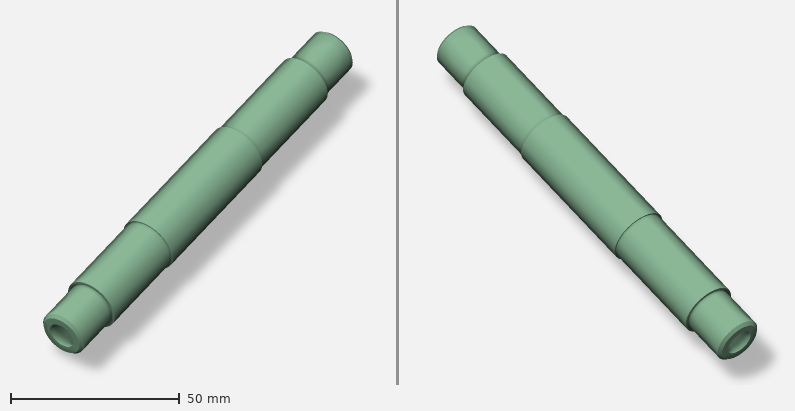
import cadquery as cq

length = 137.0

middle_diameter = 18.0
shoulder_diameter = 17.0
journal_diameter = 15.0

journal_length = 15.0
front_shoulder_length = 28.5
middle_length = 45.1
rear_shoulder_length = length - 2 * journal_length - front_shoulder_length - middle_length

end_chamfer = 1.0

bore_diameter = 8.0
end_bore_diameter = 8.5
end_bore_depth = 20.0

sections = [
    (journal_diameter, journal_length),
    (shoulder_diameter, front_shoulder_length),
    (middle_diameter, middle_length),
    (shoulder_diameter, rear_shoulder_length),
    (journal_diameter, journal_length),
]


def make_cylinder(diameter, start, cylinder_length):
    """Cylinder on the Y axis, from y = start toward +Y."""
    plane = cq.Workplane("XZ", origin=(0, start, 0))
    return plane.circle(diameter / 2).extrude(-cylinder_length)


def make_stepped_shaft():
    """Stack the cylindrical sections end to end and chamfer both ends."""
    shaft = cq.Workplane("XZ")
    start = -length / 2
    for diameter, section_length in sections:
        shaft = shaft.union(make_cylinder(diameter, start, section_length))
        start += section_length
    return shaft.faces("<Y or >Y").edges().chamfer(end_chamfer)


def make_bore():
    """Through bore with a wider stretch at each end."""
    bore = make_cylinder(bore_diameter, -length / 2, length)
    for start in (-length / 2, length / 2 - end_bore_depth):
        bore = bore.union(make_cylinder(end_bore_diameter, start, end_bore_depth))
    return bore


result = make_stepped_shaft().cut(make_bore())